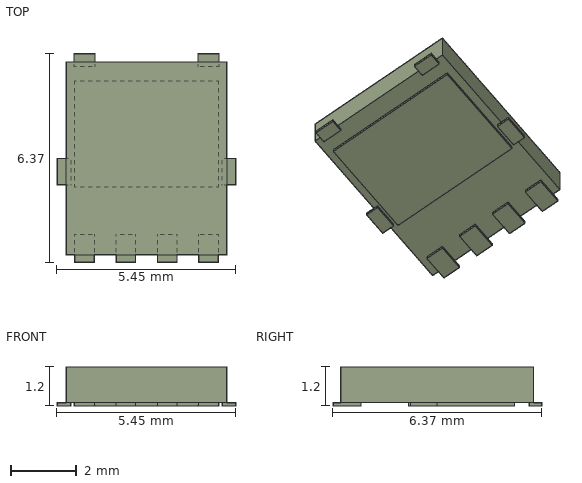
import cadquery as cq

overall_width = 5.45
overall_length = 6.37
overall_height = 1.2

housing_width = 4.9
front_overhang = 0.23
back_overhang = 0.255

plate_thickness = 0.11
lead_pitch = 1.26
front_lead_count = 4
front_lead_width = 0.6
front_lead_length = 0.855
back_lead_width = 0.65
back_lead_length = 0.395
side_lead_width = 0.81
side_lead_length = 0.42
side_lead_center_y = -0.415
pad_back_y = 2.35
pad_front_y = -0.885

front_tip_y = -overall_length / 2
back_tip_y = overall_length / 2
housing_front_y = front_tip_y + front_overhang
housing_back_y = back_tip_y - back_overhang
outer_lead_x = lead_pitch * (front_lead_count - 1) / 2
pad_width = 2 * outer_lead_x + front_lead_width


def block(width, length, height, center_x, center_y, bottom_z=0):
    """Rectangular solid centred on a point in plan, standing on bottom_z."""
    return (
        cq.Workplane("XY", origin=(center_x, center_y, bottom_z))
        .box(width, length, height, centered=(True, True, False))
        .val()
    )


def make_housing():
    length = housing_back_y - housing_front_y
    center_y = (housing_back_y + housing_front_y) / 2
    height = overall_height - plate_thickness
    return block(housing_width, length, height, 0, center_y, plate_thickness)


def make_thermal_pad():
    length = pad_back_y - pad_front_y
    center_y = (pad_back_y + pad_front_y) / 2
    return block(pad_width, length, plate_thickness, 0, center_y)


def make_front_lead(center_x):
    center_y = front_tip_y + front_lead_length / 2
    return block(front_lead_width, front_lead_length, plate_thickness, center_x, center_y)


def make_back_lead(center_x):
    center_y = back_tip_y - back_lead_length / 2
    return block(back_lead_width, back_lead_length, plate_thickness, center_x, center_y)


def make_side_lead(side):
    center_x = side * (overall_width - side_lead_length) / 2
    return block(side_lead_length, side_lead_width, plate_thickness, center_x, side_lead_center_y)


housing = make_housing()
thermal_pad = make_thermal_pad()
front_leads = [make_front_lead(i * lead_pitch - outer_lead_x) for i in range(front_lead_count)]
back_leads = [make_back_lead(side * outer_lead_x) for side in (-1, 1)]
side_leads = [make_side_lead(side) for side in (-1, 1)]

result = cq.Compound.makeCompound(
    [housing, thermal_pad, *front_leads, *back_leads, *side_leads]
)